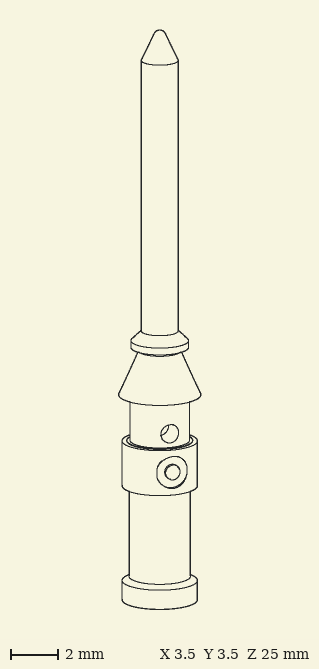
import cadquery as cq

flange_top = 0.85
flange_cone_top = 1.02
collar_bottom = 5.0
collar_top = 6.98
land_top = 7.0
barb_bottom = 9.0
barb_top = 10.92
disc_bottom = 11.08
disc_top = 11.38
disc_cone_top = 11.8
pin_top = 23.68
dome_bottom = 24.8
total_height = 25.0

flange_diameter = 3.2
lower_body_diameter = 2.6
collar_diameter = 3.2
land_diameter = 2.8
upper_body_diameter = 2.52
barb_diameter = 3.5
neck_diameter = 1.8
disc_diameter = 2.45
pin_diameter = 1.58
dome_diameter = 0.52

inspection_hole_diameter = 0.8
inspection_hole_height = 7.6

groove_outer_diameter = 1.4
groove_inner_diameter = 0.65
groove_depth = 0.15
groove_height = (collar_bottom + collar_top) / 2


def dome_midpoint():
    """Radius and height of a point halfway up the spherical dome."""
    rise = total_height - dome_bottom
    sphere_radius = ((dome_diameter / 2) ** 2 + rise**2) / (2 * rise)
    depth_below_tip = rise / 2
    radius = (depth_below_tip * (2 * sphere_radius - depth_below_tip)) ** 0.5
    return radius, total_height - depth_below_tip


def turned_body():
    """Revolve the half outline, from the flange up to the domed tip, about Z."""
    return (
        cq.Workplane("XZ")
        .moveTo(0, 0)
        .lineTo(flange_diameter / 2, 0)
        .lineTo(flange_diameter / 2, flange_top)
        .lineTo(lower_body_diameter / 2, flange_cone_top)
        .lineTo(lower_body_diameter / 2, collar_bottom)
        .lineTo(collar_diameter / 2, collar_bottom)
        .lineTo(collar_diameter / 2, collar_top)
        .lineTo(land_diameter / 2, collar_top)
        .lineTo(land_diameter / 2, land_top)
        .lineTo(upper_body_diameter / 2, land_top)
        .lineTo(upper_body_diameter / 2, barb_bottom)
        .lineTo(barb_diameter / 2, barb_bottom)
        .lineTo(neck_diameter / 2, barb_top)
        .lineTo(neck_diameter / 2, disc_bottom)
        .lineTo(disc_diameter / 2, disc_bottom)
        .lineTo(disc_diameter / 2, disc_top)
        .lineTo(pin_diameter / 2, disc_cone_top)
        .lineTo(pin_diameter / 2, pin_top)
        .lineTo(dome_diameter / 2, dome_bottom)
        .threePointArc(dome_midpoint(), (0, total_height))
        .close()
        .revolve(360, (0, 0, 0), (0, 1, 0))
    )


def inspection_hole():
    """Radial cutter that starts on the axis and leaves through the +X side."""
    return (
        cq.Workplane("YZ", origin=(0, 0, inspection_hole_height))
        .circle(inspection_hole_diameter / 2)
        .extrude(upper_body_diameter)
    )


def collar_groove():
    """Ring-shaped cutter that sinks into the +X side of the collar."""
    floor = collar_diameter / 2 - groove_depth
    return (
        cq.Workplane("YZ", origin=(floor, 0, groove_height))
        .circle(groove_outer_diameter / 2)
        .circle(groove_inner_diameter / 2)
        .extrude(2 * groove_depth)
    )


result = turned_body().cut(inspection_hole()).cut(collar_groove())